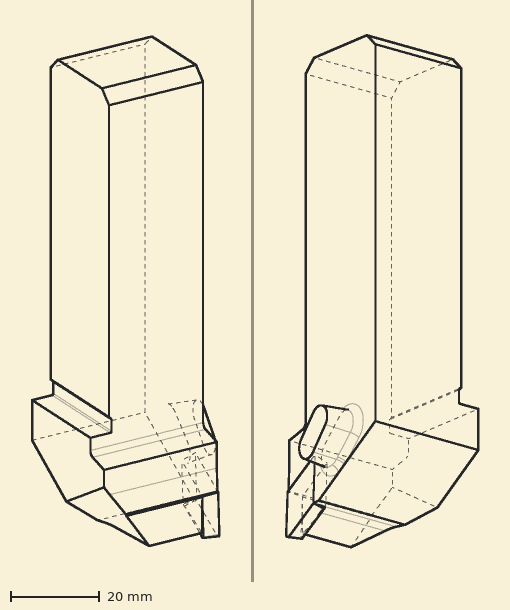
import cadquery as cq
import math


total_length = 112.7
shank_size = 25.0
top_chamfer = 3.0
head_depth = 30.0
head_reach = 30.9

shoulder_top = 24.7
shoulder_slope = 15
shoulder_fillet = 1.4

heel_height = 18.9
ledge_start = (20.3, 5.6)
ledge_end = (22.3, 5.5)
ledge_bend = (23.5, 5.3)
ledge_blend = (24.6, 4.8)
tip_corner = (30.9, 1.6)
side_relief_bottom = (31.0, 10.5)
side_bulge = (31.2, 11.0)
side_bulge_top = 16.7

ledge_height = 28.8
groove_top = 32.8
groove_depth = 0.7
groove_fillet = 0.3

facet_start = (15.0, 9.5)
facet_slope = 39
facet_size = 67.6

insert_side = 11.6
insert_angle = 55
insert_lead = 3
insert_thickness = 3.9
insert_clearance = 7
nose_radius = 0.8
nose_reach = 32.0

nozzle_center = (9.6, 20.4)
nozzle_direction = -45
nozzle_radius = 3.7
nozzle_spacing = 7.1
nozzle_taper = 5
nozzle_height = 8.7
nozzle_end_slope = 4
nozzle_fillet = 1.7
nozzle_length = nozzle_spacing + 2 * nozzle_radius

pick_margin = 0.1

side_edge_angle = 90 + insert_lead
lower_edge_angle = side_edge_angle + insert_angle
bisector_angle = side_edge_angle + insert_angle / 2


def polar_offset(point, angle, distance):
    """Point at a distance from another, in a direction measured from +X towards +Z."""
    radians = math.radians(angle)
    return (point[0] + distance * math.cos(radians), point[1] + distance * math.sin(radians))


def rake_plane():
    """XZ workplane at Y = 0, whose extrusions go towards -Y."""
    return cq.Workplane("XZ")


def make_body():
    """Shank and head as one outline in XZ, cut to its stepped profile on the -Y side."""
    shoulder_drop = (head_reach - shank_size) * math.tan(math.radians(shoulder_slope))
    body = (
        rake_plane()
        .moveTo(0, heel_height)
        .lineTo(0, total_length - top_chamfer)
        .lineTo(top_chamfer, total_length)
        .lineTo(shank_size - top_chamfer, total_length)
        .lineTo(shank_size, total_length - top_chamfer)
        .lineTo(shank_size, shoulder_top)
        .lineTo(head_reach, shoulder_top - shoulder_drop)
        .lineTo(head_reach, side_bulge_top)
        .lineTo(*side_bulge)
        .lineTo(*side_relief_bottom)
        .lineTo(*tip_corner)
        .lineTo(*ledge_blend)
        .threePointArc(ledge_bend, ledge_end)
        .lineTo(*ledge_start)
        .close()
        .extrude(head_depth)
    )
    shoulder_edge = cq.selectors.BoxSelector(
        (shank_size - pick_margin, -head_depth, shoulder_top - pick_margin),
        (shank_size + pick_margin, 0, shoulder_top + pick_margin),
    )
    body = body.edges(shoulder_edge).fillet(shoulder_fillet)
    return body.cut(make_shank_step())


def make_shank_step():
    """Material removed in front of the shank, with the groove above the head."""
    groove_floor = groove_depth - shank_size
    return (
        cq.Workplane("YZ")
        .moveTo(-head_depth, ledge_height)
        .lineTo(groove_floor - groove_fillet, ledge_height)
        .radiusArc((groove_floor, ledge_height + groove_fillet), -groove_fillet)
        .lineTo(groove_floor, groove_top - groove_depth)
        .lineTo(-shank_size, groove_top)
        .lineTo(-shank_size, total_length)
        .lineTo(-head_depth, total_length)
        .close()
        .extrude(shank_size)
    )


def make_facet_cutter():
    """Block on the outer side of the sloped facet plane."""
    away = math.radians(bisector_angle + 180)
    slope = math.radians(facet_slope)
    normal = (math.cos(away) * math.sin(slope), -math.cos(slope), math.sin(away) * math.sin(slope))
    along_start_edge = (math.sin(away), 0, -math.cos(away))
    origin = (facet_start[0], -head_depth, facet_start[1])
    plane = cq.Plane(origin, along_start_edge, normal)
    return cq.Workplane(plane).rect(facet_size, facet_size).extrude(facet_size)


def nozzle_middle():
    """Middle of the nozzle slot in XZ."""
    return polar_offset(nozzle_center, nozzle_direction, nozzle_spacing / 2)


def make_nozzle():
    """Tapered slot-shaped boss on the +Y face, lowest at the end nearer the tip."""
    middle_x, middle_z = nozzle_middle()
    boss = (
        cq.Workplane(cq.Plane((middle_x, 0, middle_z), (1, 0, 0), (0, 1, 0)))
        .slot2D(nozzle_length, 2 * nozzle_radius, -nozzle_direction)
        .extrude(nozzle_height, taper=nozzle_taper)
    )
    top_radius = nozzle_radius - nozzle_height * math.tan(math.radians(nozzle_taper))
    high_point = polar_offset(nozzle_center, nozzle_direction, -top_radius)
    direction = math.radians(nozzle_direction)
    slope = math.radians(nozzle_end_slope)
    normal = (math.cos(direction) * math.sin(slope), math.cos(slope), math.sin(direction) * math.sin(slope))
    across = (-math.sin(direction), 0, math.cos(direction))
    end_plane = cq.Plane((high_point[0], nozzle_height, high_point[1]), across, normal)
    end_cut_size = 3 * nozzle_length
    end_cutter = cq.Workplane(end_plane).rect(end_cut_size, end_cut_size).extrude(nozzle_height)
    return boss.cut(end_cutter)


def make_insert():
    """Rhombic insert with a rounded nose, narrowing away from its rake face."""
    nose_center = (nose_reach - nose_radius, nose_radius)
    sharp_distance = nose_radius / math.sin(math.radians(insert_angle / 2))
    sharp_tip = polar_offset(nose_center, bisector_angle + 180, sharp_distance)
    side_corner = polar_offset(sharp_tip, side_edge_angle, insert_side)
    lower_corner = polar_offset(sharp_tip, lower_edge_angle, insert_side)
    far_corner = polar_offset(side_corner, lower_edge_angle, insert_side)
    nose_length = nose_radius / math.tan(math.radians(insert_angle / 2))
    return (
        rake_plane()
        .moveTo(*polar_offset(sharp_tip, side_edge_angle, nose_length))
        .lineTo(*side_corner)
        .lineTo(*far_corner)
        .lineTo(*lower_corner)
        .lineTo(*polar_offset(sharp_tip, lower_edge_angle, nose_length))
        .threePointArc(
            polar_offset(nose_center, bisector_angle + 180, nose_radius),
            polar_offset(sharp_tip, side_edge_angle, nose_length),
        )
        .close()
        .extrude(insert_thickness, taper=insert_clearance)
    )


def make_holder(pocket):
    """Body with its facet and nozzle, and the pocket that the insert sits in."""
    holder = make_body().cut(make_facet_cutter()).union(make_nozzle())
    middle_x, middle_z = nozzle_middle()
    nozzle_foot = cq.selectors.BoxSelector(
        (middle_x - nozzle_length / 2, -pick_margin, middle_z - nozzle_length / 2),
        (middle_x + nozzle_length / 2, pick_margin, middle_z + nozzle_length / 2),
        boundingbox=True,
    )
    holder = holder.edges(nozzle_foot).fillet(nozzle_fillet)
    return holder.cut(pocket)


insert = make_insert()
holder = make_holder(insert)

result = cq.Compound.makeCompound([holder.solids().val(), insert.val()])